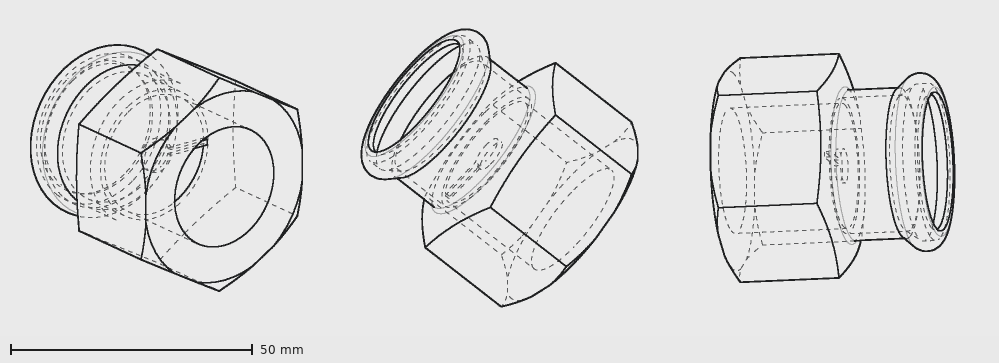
import cadquery as cq
import math

length = 43.6
corner_diameter = 47.35
corner_radius = corner_diameter / 2

bead_radius = 3.05
bead_center_radius = 15.5
tube_radius = 31.3 / 2
shoulder_end = 7.45

hex_corner_start = 20.95
front_cone_angle = math.radians(15)
back_chamfer_angle = math.radians(30)
back_face_radius = 20.75
neck_fillet = 0.95

lip_mouth_radius = 28.8 / 2
socket_radius = 28.2 / 2
lip_thickness = 1.15
groove_radius = 16.3
groove_floor_end = 3.8
groove_end = 7.05
stop_depth = 19.9
through_radius = 26.0 / 2

disc_radius = 3.55
arm_width = 1.25
disc_thickness = 1.25
arm_wall_overlap = 0.45


def bead_point(angle):
    """Point (x, radius) on the bead section, angle measured from +X."""
    return (
        bead_radius * (1 + math.cos(angle)),
        bead_center_radius + bead_radius * math.sin(angle),
    )


def bead_tangent_angle():
    """Angle on the bead where the line to the shoulder end is tangent."""
    dx = shoulder_end - bead_radius
    dr = tube_radius - bead_center_radius
    return math.atan2(dr, dx) + math.acos(bead_radius / math.hypot(dx, dr))


def revolve_about_x(profile):
    return profile.close().revolve(360, (0, 0, 0), (1, 0, 0))


def make_outer_body():
    """Turned envelope: bead, tube, filleted neck and the two hexagon cones."""
    tangent = bead_tangent_angle()
    bead_middle = (math.pi + tangent) / 2

    turn = math.pi / 2 - front_cone_angle
    fillet_end_radius = tube_radius + neck_fillet * (1 - math.cos(turn))
    fillet_end = hex_corner_start - (corner_radius - fillet_end_radius) * math.tan(front_cone_angle)
    fillet_start = fillet_end - neck_fillet * math.sin(turn)
    fillet_middle = (
        fillet_start + neck_fillet * math.sin(turn / 2),
        tube_radius + neck_fillet * (1 - math.cos(turn / 2)),
    )
    chamfer_start = length - (corner_radius - back_face_radius) * math.tan(back_chamfer_angle)

    profile = (
        cq.Workplane("XY")
        .lineTo(0, bead_center_radius)
        .threePointArc(bead_point(bead_middle), bead_point(tangent))
        .lineTo(shoulder_end, tube_radius)
        .lineTo(fillet_start, tube_radius)
        .threePointArc(fillet_middle, (fillet_end, fillet_end_radius))
        .lineTo(hex_corner_start, corner_radius)
        .lineTo(chamfer_start, corner_radius)
        .lineTo(length, back_face_radius)
        .lineTo(length, 0)
    )
    return revolve_about_x(profile)


def make_hexagon():
    """Hexagonal bar with two corners on the Z axis."""
    return (
        cq.Workplane("YZ")
        .transformed(rotate=(0, 0, 90))
        .polygon(6, corner_diameter)
        .extrude(length)
    )


def make_bore():
    """Stepped bore with the seal groove inside the bead."""
    profile = (
        cq.Workplane("XY")
        .lineTo(0, lip_mouth_radius)
        .lineTo(lip_thickness, socket_radius)
        .lineTo(lip_thickness, groove_radius)
        .lineTo(groove_floor_end, groove_radius)
        .lineTo(groove_end, socket_radius)
        .lineTo(stop_depth, socket_radius)
        .lineTo(stop_depth, through_radius)
        .lineTo(length, through_radius)
        .lineTo(length, 0)
    )
    return revolve_about_x(profile)


def make_disc_and_arm():
    """Central disc and its arm, flush with the face of the stop ring."""
    plane = cq.Workplane("YZ", origin=(stop_depth, 0, 0))
    disc = plane.circle(disc_radius).extrude(disc_thickness)
    arm_length = through_radius + arm_wall_overlap
    arm = plane.center(arm_length / 2, 0).rect(arm_length, arm_width).extrude(disc_thickness)
    return disc.union(arm)


result = make_outer_body().intersect(make_hexagon()).cut(make_bore()).union(make_disc_and_arm())